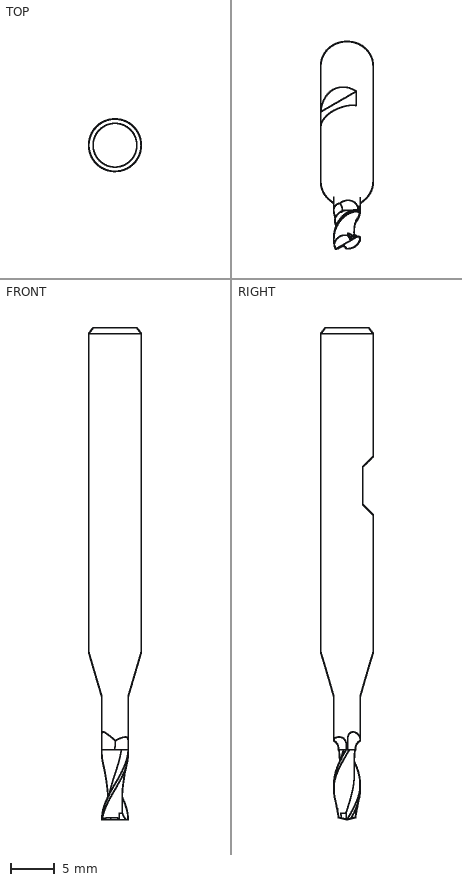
import cadquery as cq
import math

TOTAL_LENGTH = 56
SHANK_RADIUS = 6.0 / 2
NECK_RADIUS = 1.5
CONE_BOTTOM = 14
CONE_TOP = 19.05
END_CHAMFER_WIDTH = 0.5
END_CHAMFER_HEIGHT = 0.7

FLAT_DEPTH = 1.2
FLAT_LENGTH = 4.3
FLAT_CENTRE_Z = 38.0

CUTTER_LENGTH = 7.95
FLUTE_COUNT = 2
FLUTE_TWIST = 176
CORE_RADIUS = 0.85
LAND_ANGLE = 14
BACK_MID_RADIUS = 1.0
BACK_MID_ANGLE = 70
CORE_START_ANGLE = 128
CORE_END_ANGLE = 155
END_RELIEF_ANGLE = 14
GASH_WIDTH = 1.0
GASH_HEIGHT = 0.7
GASH_OFFSET = 0.1

RUNOUT_CORE_HALF = 0.98
RUNOUT_ROUND_Z = CUTTER_LENGTH + 0.1
RUNOUT_RADIUS = 1.25
RUNOUT_YAW = 31
RUNOUT_LEFT_TILT = 32
RUNOUT_RIGHT_TILT = 15


def polar(radius, degrees):
    angle = math.radians(degrees)
    return (radius * math.cos(angle), radius * math.sin(angle))


def around_axis(tool):
    """One copy of a cutting tool for each flute."""
    return [tool.rotate((0, 0, 0), (0, 0, 1), i * 360 / FLUTE_COUNT) for i in range(FLUTE_COUNT)]


def shank_blank():
    return (
        cq.Workplane("XZ")
        .moveTo(0, CUTTER_LENGTH)
        .lineTo(NECK_RADIUS, CUTTER_LENGTH)
        .lineTo(NECK_RADIUS, CONE_BOTTOM)
        .lineTo(SHANK_RADIUS, CONE_TOP)
        .lineTo(SHANK_RADIUS, TOTAL_LENGTH - END_CHAMFER_HEIGHT)
        .lineTo(SHANK_RADIUS - END_CHAMFER_WIDTH, TOTAL_LENGTH)
        .lineTo(0, TOTAL_LENGTH)
        .close()
        .revolve(360, (0, 0, 0), (0, 1, 0))
    )


def clamping_flat():
    half_inner = FLAT_LENGTH / 2
    half_outer = half_inner + FLAT_DEPTH
    floor_y = SHANK_RADIUS - FLAT_DEPTH
    return (
        cq.Workplane("YZ")
        .polyline([
            (floor_y, FLAT_CENTRE_Z - half_inner),
            (SHANK_RADIUS, FLAT_CENTRE_Z - half_outer),
            (SHANK_RADIUS, FLAT_CENTRE_Z + half_outer),
            (floor_y, FLAT_CENTRE_Z + half_inner),
        ])
        .close()
        .extrude(SHANK_RADIUS, both=True)
    )


def scoop(tilt, yaw):
    """Round-topped groove along X, tilted about Y, then yawed to follow one flank of the run-out core."""
    groove = (
        cq.Workplane("YZ")
        .moveTo(-RUNOUT_CORE_HALF, 0)
        .lineTo(-RUNOUT_CORE_HALF, RUNOUT_ROUND_Z)
        .threePointArc(
            (-RUNOUT_CORE_HALF - RUNOUT_RADIUS, RUNOUT_ROUND_Z + RUNOUT_RADIUS),
            (-RUNOUT_CORE_HALF - 2 * RUNOUT_RADIUS, RUNOUT_ROUND_Z),
        )
        .lineTo(-RUNOUT_CORE_HALF - 2 * RUNOUT_RADIUS, 0)
        .close()
        .extrude(2 * NECK_RADIUS, both=True)
    )
    return (
        groove
        .rotate((0, 0, RUNOUT_ROUND_Z), (0, 1, RUNOUT_ROUND_Z), tilt)
        .rotate((0, -RUNOUT_CORE_HALF, 0), (0, -RUNOUT_CORE_HALF, 1), yaw)
    )


def flute_runout():
    """Run-out of the -Y flute: one scoop for each flank, steeper on the -X side."""
    return [
        scoop(RUNOUT_LEFT_TILT, -RUNOUT_YAW),
        scoop(-RUNOUT_RIGHT_TILT, RUNOUT_YAW),
    ]


def make_shank():
    shank = shank_blank().cut(clamping_flat())
    for flank in flute_runout():
        for tool in around_axis(flank):
            shank = shank.cut(tool)
    return shank


def twisted_flutes():
    """Section of margin, convex back, flat core strip and rake face for each flute, twisted along Z."""
    section = cq.Workplane("XY").moveTo(NECK_RADIUS, 0)
    for i in range(FLUTE_COUNT):
        turn = i * 360 / FLUTE_COUNT
        next_turn = turn + 360 / FLUTE_COUNT
        section = (
            section
            .threePointArc(polar(NECK_RADIUS, turn + LAND_ANGLE / 2), polar(NECK_RADIUS, turn + LAND_ANGLE))
            .threePointArc(
                polar(BACK_MID_RADIUS, turn + BACK_MID_ANGLE),
                polar(CORE_RADIUS, turn + CORE_START_ANGLE),
            )
            .lineTo(*polar(CORE_RADIUS, turn + CORE_END_ANGLE))
            .lineTo(*polar(NECK_RADIUS, next_turn))
        )
    return section.close().twistExtrude(CUTTER_LENGTH, FLUTE_TWIST)


def end_relief():
    """Wedge that slopes the end face up from the X axis toward -Y."""
    reach = 2 * NECK_RADIUS
    rise = reach * math.tan(math.radians(END_RELIEF_ANGLE))
    return (
        cq.Workplane("YZ")
        .polyline([(0, 0), (-reach, 0), (-reach, rise)])
        .close()
        .extrude(reach, both=True)
    )


def end_gash():
    """Notch in front of the +X end edge."""
    return cq.Workplane("XY").box(
        GASH_WIDTH, NECK_RADIUS, GASH_HEIGHT, centered=False
    ).translate((NECK_RADIUS - GASH_WIDTH, -NECK_RADIUS - GASH_OFFSET, 0))


def make_cutter():
    cutter = twisted_flutes()
    for tool in around_axis(end_relief()) + around_axis(end_gash()):
        cutter = cutter.cut(tool)
    return cutter


shank = make_shank()
cutter = make_cutter()
result = cq.Compound.makeCompound([shank.val(), cutter.val()])